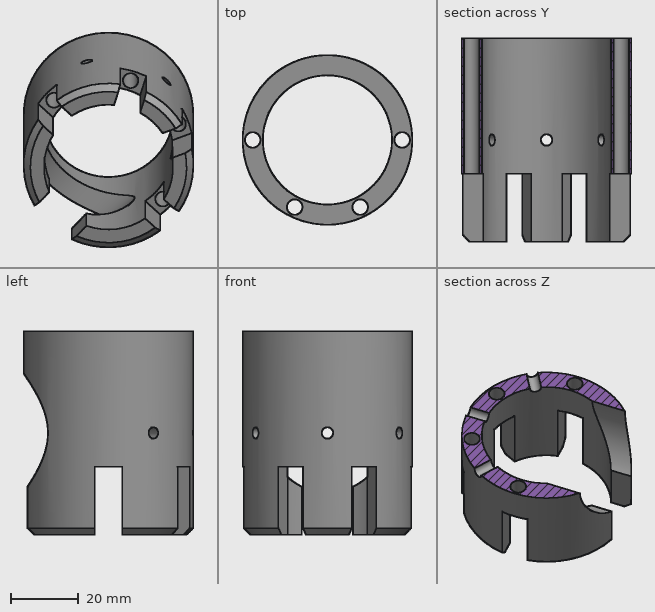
import cadquery as cq

outer_radius = 25.0
bore_radius = 19.0
height = 60.0
base_chamfer = 2.0
mid_height = height / 2

slot_width = 8.0
slot_height = 20.0
slot_spacing = 64.0
axial_hole_diameter = 4.5
axial_hole_circle_radius = (outer_radius + bore_radius) / 2

radial_hole_diameter = 3.3

window_diameter = 35.0
window_slot_width = 15.0

cutter_length = 2 * outer_radius

plus_y = 90.0
minus_y = -90.0
slot_angles = [0.0, -slot_spacing, slot_spacing - 180.0, 180.0]
tooth_angles = [-slot_spacing / 2, minus_y, slot_spacing / 2 - 180.0]


def make_tube():
    """Hollow cylinder with its outer base edge chamfered."""
    cylinder = cq.Workplane("XY").circle(outer_radius).extrude(height)
    bore = cq.Workplane("XY").circle(bore_radius).extrude(height)
    return cylinder.faces("<Z").chamfer(base_chamfer).cut(bore)


def wall_slot(width, slot_top, angle):
    """Parallel-sided slot from the base up, through the wall on one side of the axis."""
    slot = cq.Workplane("XY").box(cutter_length, width, slot_top, centered=(False, True, False))
    return slot.rotate((0, 0, 0), (0, 0, 1), angle)


def wall_hole(diameter, angle):
    """Radial round hole at mid height, through the wall on one side of the axis."""
    hole = cq.Workplane("YZ").center(0, mid_height).circle(diameter / 2).extrude(cutter_length)
    return hole.rotate((0, 0, 0), (0, 0, 1), angle)


def axial_hole(angle):
    """Hole parallel to the axis, inside the wall thickness."""
    hole = cq.Workplane("XY").circle(axial_hole_diameter / 2).extrude(height)
    return hole.translate((axial_hole_circle_radius, 0, 0)).rotate((0, 0, 0), (0, 0, 1), angle)


result = make_tube()

for slot_angle in slot_angles:
    result = result.cut(wall_slot(slot_width, slot_height, slot_angle))
    result = result.cut(axial_hole(slot_angle))

for tooth_angle in tooth_angles:
    result = result.cut(wall_hole(radial_hole_diameter, tooth_angle))

result = result.cut(wall_hole(window_diameter, plus_y))
result = result.cut(wall_slot(window_slot_width, mid_height, plus_y))